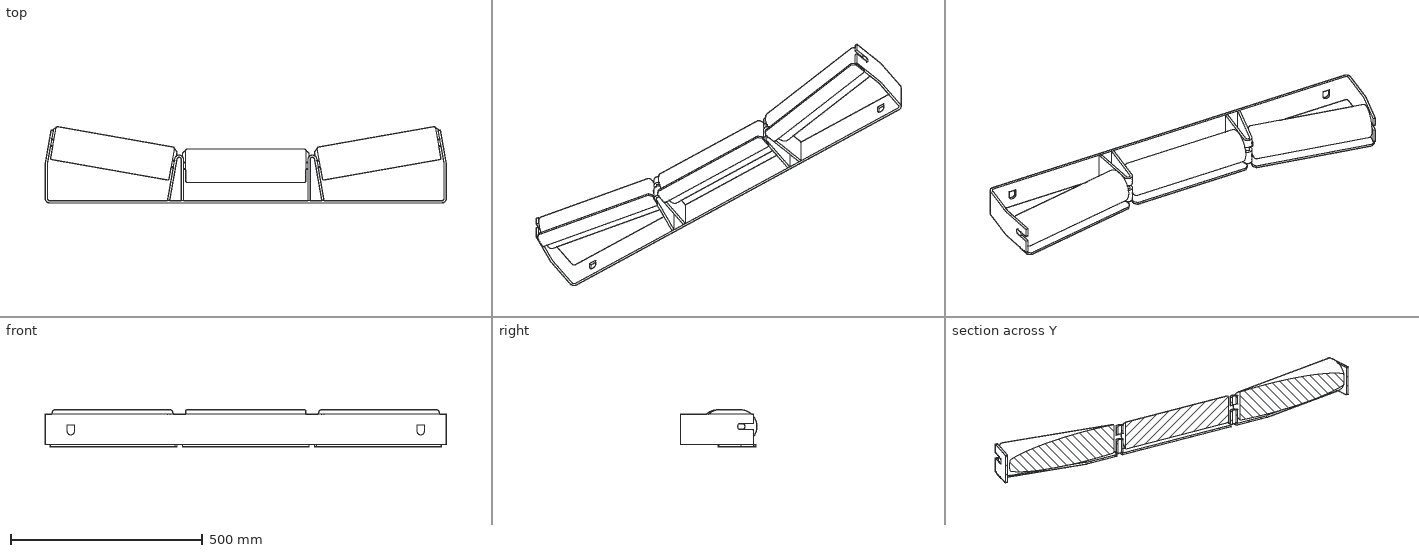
import cadquery as cq
import math

frame_length = 1050.0
frame_height = 80.0
steel = 6.0
bend_radius = 13.0
arm_tip_y = 190.0

roller_radius = 44.0
roller_length = 315.0
roller_edge_radius = 4.0
shaft_radius = 10.0
shaft_flat_width = 14.0
slot_width = 16.0
axis_z = 47.0

support_distance = 163.0
tilt = 10.0
middle_axis_y = 98.0
side_centre_x = 349.0
side_centre_y = 130.0

plate_length = 332.0
plate_width = 41.0
plate_chamfer = 8.0

hanger_top_y = 126.0

hole_centre_x = 458.0
hole_width = 19.0
hole_bottom = 25.0
hole_top = 51.0

half_frame = frame_length / 2
support_outer = support_distance + steel
shaft_length = 2 * support_outer
slot_reach = support_outer + steel
sin_tilt = math.sin(math.radians(tilt))
cos_tilt = math.cos(math.radians(tilt))
tan_tilt = math.tan(math.radians(tilt))

stations = [
    (-side_centre_x, side_centre_y, -tilt),
    (0, middle_axis_y, 0),
    (side_centre_x, side_centre_y, tilt),
]


def place(shape, station):
    """Move a shape modelled along X at the origin to a roller station."""
    x, y, angle = station
    return shape.rotate((0, 0, 0), (0, 0, 1), angle).translate((x, y, 0))


def tilted_face_x(distance, y):
    """X of a plane square to the left roller axis, at a signed distance from its middle, at height y."""
    return -side_centre_x + distance / cos_tilt + (y - side_centre_y) * tan_tilt


def tilted_face_y(distance, x):
    """Y at which the same plane reaches a given X."""
    return side_centre_y + (x - tilted_face_x(distance, side_centre_y)) / tan_tilt


def mirrored_pair(shape):
    return [shape, shape.mirror("YZ")]


def flatted_bar(length, width):
    """Round bar along X with a flat above and below, set a width apart."""
    bar = cq.Workplane("YZ").workplane(offset=-length / 2).circle(shaft_radius).extrude(length)
    flats = cq.Workplane("XY").box(length, 2 * shaft_radius, width)
    return bar.intersect(flats).translate((0, 0, axis_z))


def shaft_slot():
    """Slot with a rounded floor that carries the shaft, open towards +Y."""
    opening = cq.Workplane("XY").box(
        2 * slot_reach, frame_height, slot_width, centered=(True, False, True)
    )
    return flatted_bar(2 * slot_reach, slot_width).union(opening.translate((0, 0, axis_z)))


def cut_shaft_slots(body):
    for station in stations:
        body = body.cut(place(shaft_slot(), station))
    return body


def frame_outline(inset, knee_distance):
    """Block bounded by the back, the end legs and the tilted arms (open far above), moved in by an inset."""
    leg_x = -half_frame + inset
    knee_y = tilted_face_y(knee_distance, leg_x)
    left = [
        (tilted_face_x(knee_distance, frame_length), frame_length),
        (leg_x, knee_y),
        (leg_x, inset),
    ]
    right = [(-x, y) for x, y in reversed(left)]
    return cq.Workplane("XY").polyline(left + right).close().extrude(frame_height)


def make_frame():
    outer = frame_outline(0, -support_outer)
    inner = frame_outline(steel, -support_distance)
    back_corners = cq.selectors.BoxSelector(
        (-frame_length, -steel, 0), (frame_length, 2 * steel, frame_height)
    )
    outer = outer.edges("|Z").edges(back_corners).fillet(bend_radius)
    inner = inner.edges("|Z").edges(back_corners).fillet(bend_radius - steel)
    strip = outer.cut(inner)

    for waste in mirrored_pair(beyond_arm_tip()):
        strip = strip.cut(waste)
    for hole in mirrored_pair(mounting_hole()):
        strip = strip.cut(hole)
    return cut_shaft_slots(strip)


def beyond_arm_tip():
    """Waste above the left arm, which ends square to its tilted faces."""
    tip_above_axis = (arm_tip_y - side_centre_y - support_distance * sin_tilt) / cos_tilt
    waste = cq.Workplane("XY").box(
        2 * slot_reach, frame_length, frame_height, centered=(True, False, False)
    )
    return place(waste.translate((0, tip_above_axis, 0)), stations[0])


def mounting_hole():
    """Hole through the back with a flat top and a half-round bottom."""
    radius = hole_width / 2
    return (
        cq.Workplane("XZ", origin=(-hole_centre_x, 0, 0))
        .moveTo(-radius, hole_top)
        .lineTo(-radius, hole_bottom + radius)
        .threePointArc((0, hole_bottom), (radius, hole_bottom + radius))
        .lineTo(radius, hole_top)
        .close()
        .extrude(-steel)
    )


def hanger_outline(inset, loop_radius):
    """Wedge between the tilted leg and the upright leg, rounded where they close."""
    upright_x = -support_distance - inset
    tilted_distance = support_distance + inset
    foot_x = tilted_face_x(tilted_distance, steel)
    apex_y = tilted_face_y(tilted_distance, upright_x)
    return (
        cq.Workplane("XY")
        .polyline([(foot_x, steel), (upright_x, steel), (upright_x, apex_y)])
        .close()
        .extrude(frame_height)
        .edges("|Z and >Y")
        .fillet(loop_radius)
    )


def make_hanger():
    apex_y = tilted_face_y(support_distance, -support_distance)
    loop_radius = (apex_y - hanger_top_y) / (1 / math.tan(math.radians(tilt / 2)) - 1)
    outer = hanger_outline(0, loop_radius)
    inner = hanger_outline(steel, loop_radius - steel)
    return cut_shaft_slots(outer.cut(inner))


def make_roller():
    drum = (
        cq.Workplane("YZ", origin=(-roller_length / 2, 0, axis_z))
        .circle(roller_radius)
        .extrude(roller_length)
        .edges("%CIRCLE")
        .fillet(roller_edge_radius)
    )
    return drum.union(flatted_bar(shaft_length, shaft_flat_width))


def make_plate():
    return (
        cq.Workplane("XY")
        .box(plate_length, plate_width, steel, centered=(True, False, False))
        .edges("|Z and >Y")
        .chamfer(plate_chamfer)
        .translate((0, 0, -steel))
    )


frame = make_frame()
hangers = mirrored_pair(make_hanger())
rollers = [place(make_roller(), station) for station in stations]
plates = [place(make_plate(), station) for station in stations]

result = cq.Compound.makeCompound(
    [body.solids().val() for body in [frame, *hangers, *rollers, *plates]]
)